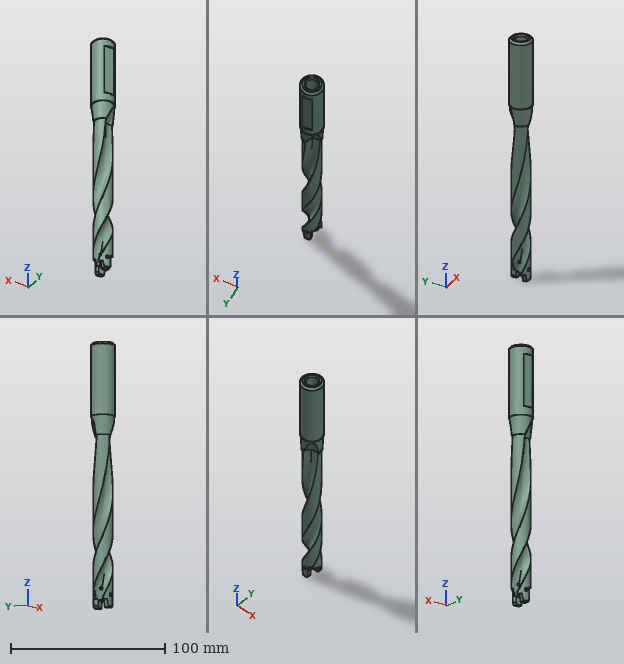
import cadquery as cq
import math

LENGTH = 174.6
SHANK_BOTTOM = 126.5
NECK_BOTTOM = 113.5
OVERRUN = 1.7

SHANK_DIAMETER = 15.9
SHANK_RADIUS = SHANK_DIAMETER / 2
SHANK_CHAMFER = 1.5
FLAT_DEPTH = 0.9
FLAT_BOTTOM = 132.4
FLAT_TOP = 168.0

NECK_TOP_RADIUS = 7.5
NECK_BOTTOM_RADIUS = 7

BODY_RADIUS = 6.5
TIP_CHAMFER = 0.7

BORE_RADIUS = 4.0
BORE_CHAMFER = 1.0
BORE_DEPTH = 21
BORE_POINT_ANGLE = 140
CHANNEL_RADIUS = 0.9
OUTLET_HEIGHT = 12.7

WEB_RADIUS = 2.1
FLUTE_RADIUS = 6.3
FLUTE_COUNT = 2
TWIST_START = 6.1
TWIST_EASE = 30.0
STEADY_TWIST = 4.581
TOP_TWIST = 0.5154
STATIONS = 16
RUNOUT_TOP = 124.9
RUNOUT_TURN = 12

SLOT_DEPTH = 5.2
SLOT_WIDTH = 5.6
PRONG_BACK = 3.7
PRONG_TIP_BACK = 2.6
PRONG_FRONT = 2.0
CORNER_WIDTH = 1.0
CORNER_HEIGHT = 2.1
NOTCH_TOP = 10.8
NOTCH_WIDTH = 3.1
NOTCH_FLOOR = 4.2

SCREW_RADIUS = 1.0
SCREW_OFFSET = -0.7
SCREW_HEIGHT = 8.2
SCREW_END = 2.8
SCREW_OUTER = 6.1


def flute_angle(z):
    """Direction of a flute at height z, in degrees around Z from -Y towards +X."""
    if z <= TWIST_EASE:
        return STEADY_TWIST * (z - TWIST_EASE)
    rise = z - TWIST_EASE
    easing = (STEADY_TWIST - TOP_TWIST) / (2 * (NECK_BOTTOM - TWIST_EASE))
    return STEADY_TWIST * rise - easing * rise**2


def around_axis(shape, index):
    """Copy of a shape turned to its place among equal ones around Z."""
    return shape.rotate((0, 0, 0), (0, 0, 1), 360 * index / FLUTE_COUNT)


def flute_section(z, angle, floor):
    """Half disc at height z whose round side comes to within `floor` of the axis."""
    center = floor + FLUTE_RADIUS
    diagonal = FLUTE_RADIUS * math.sqrt(0.5)
    half_disc = (
        cq.Workplane("XY", origin=(0, 0, z))
        .moveTo(FLUTE_RADIUS, -center)
        .threePointArc((diagonal, diagonal - center), (0, -floor))
        .threePointArc((-diagonal, diagonal - center), (-FLUTE_RADIUS, -center))
        .close()
    )
    return half_disc.val().rotate((0, 0, 0), (0, 0, 1), angle)


def flute_cutter():
    step = (NECK_BOTTOM - TWIST_START) / STATIONS
    heights = [TWIST_START + step * i for i in range(STATIONS + 1)]
    helix = cq.Solid.makeLoft([flute_section(z, flute_angle(z), WEB_RADIUS) for z in heights])
    start_angle = flute_angle(TWIST_START)
    lead_in = cq.Solid.makeLoft(
        [flute_section(z, start_angle, WEB_RADIUS) for z in (-OVERRUN, TWIST_START)], True
    )
    end_angle = flute_angle(NECK_BOTTOM)
    runout = cq.Solid.makeLoft(
        [
            flute_section(NECK_BOTTOM, end_angle, WEB_RADIUS),
            flute_section(RUNOUT_TOP, end_angle + RUNOUT_TURN, NECK_TOP_RADIUS),
        ],
        True,
    )
    return [lead_in, helix, runout]


def make_blank():
    """Turned outline of shank, neck and body."""
    return (
        cq.Workplane("XZ")
        .moveTo(0, 0)
        .lineTo(BODY_RADIUS - TIP_CHAMFER, 0)
        .lineTo(BODY_RADIUS, TIP_CHAMFER)
        .lineTo(BODY_RADIUS, NECK_BOTTOM)
        .lineTo(NECK_BOTTOM_RADIUS, NECK_BOTTOM)
        .lineTo(NECK_TOP_RADIUS, SHANK_BOTTOM)
        .lineTo(SHANK_RADIUS, SHANK_BOTTOM)
        .lineTo(SHANK_RADIUS, LENGTH - SHANK_CHAMFER)
        .lineTo(SHANK_RADIUS - SHANK_CHAMFER, LENGTH)
        .lineTo(0, LENGTH)
        .close()
        .revolve(360, (0, 0, 0), (0, 1, 0))
    )


def clamping_flat():
    return cq.Workplane("XY").box(
        2 * SHANK_RADIUS, SHANK_RADIUS, FLAT_TOP - FLAT_BOTTOM, centered=(True, False, False)
    ).translate((0, SHANK_RADIUS - FLAT_DEPTH, FLAT_BOTTOM))


def coolant_bore():
    """Chamfered blind bore with a drill point, and the narrow channel below it."""
    bore_bottom = LENGTH - BORE_DEPTH
    point = (BORE_RADIUS - CHANNEL_RADIUS) / math.tan(math.radians(BORE_POINT_ANGLE / 2))
    return (
        cq.Workplane("XZ")
        .moveTo(0, OUTLET_HEIGHT)
        .lineTo(CHANNEL_RADIUS, OUTLET_HEIGHT)
        .lineTo(CHANNEL_RADIUS, bore_bottom - point)
        .lineTo(BORE_RADIUS, bore_bottom)
        .lineTo(BORE_RADIUS, LENGTH - BORE_CHAMFER)
        .lineTo(BORE_RADIUS + BORE_CHAMFER, LENGTH)
        .lineTo(0, LENGTH)
        .close()
        .revolve(360, (0, 0, 0), (0, 1, 0))
    )


def coolant_outlet():
    return (
        cq.Workplane("YZ")
        .center(0, OUTLET_HEIGHT)
        .circle(CHANNEL_RADIUS)
        .extrude(BODY_RADIUS, both=True)
    )


def plate_slot():
    return cq.Workplane("XY").box(
        2 * SHANK_RADIUS, SLOT_WIDTH, SLOT_DEPTH, centered=(True, True, False)
    )


def prong_relief():
    """Clears the material behind the prong on the -Y side, undercutting it towards the tip."""
    return (
        cq.Workplane("XZ")
        .moveTo(-PRONG_TIP_BACK, 0)
        .lineTo(-PRONG_BACK, SLOT_DEPTH)
        .lineTo(-SHANK_RADIUS, SLOT_DEPTH)
        .lineTo(-SHANK_RADIUS, 0)
        .close()
        .extrude(SHANK_RADIUS)
    )


def chip_notch():
    """Round-topped notch in front of the prong on the -Y side."""
    radius = NOTCH_WIDTH / 2
    right = PRONG_FRONT + NOTCH_WIDTH
    return (
        cq.Workplane("XZ", origin=(0, -NOTCH_FLOOR, 0))
        .moveTo(PRONG_FRONT, 0)
        .lineTo(right, 0)
        .lineTo(right, NOTCH_TOP - radius)
        .threePointArc((right - radius, NOTCH_TOP), (PRONG_FRONT, NOTCH_TOP - radius))
        .close()
        .extrude(BODY_RADIUS)
    )


def corner_bevel():
    """Slanted cut across the front corner of the prong on the -Y side."""
    return (
        cq.Workplane("XZ")
        .moveTo(PRONG_FRONT - CORNER_WIDTH, 0)
        .lineTo(PRONG_FRONT, CORNER_HEIGHT)
        .lineTo(BODY_RADIUS, CORNER_HEIGHT)
        .lineTo(BODY_RADIUS, 0)
        .close()
        .extrude(BODY_RADIUS)
    )


def screw_cylinder(outer_end):
    """Cylinder along Y on the -Y side, from the bottom of the screw hole out to `outer_end`."""
    return (
        cq.Workplane("XZ", origin=(SCREW_OFFSET, -SCREW_END, SCREW_HEIGHT))
        .circle(SCREW_RADIUS)
        .extrude(outer_end - SCREW_END)
    )


def make_drill():
    drill = make_blank()
    for i in range(FLUTE_COUNT):
        for cutter in flute_cutter():
            drill = drill.cut(cq.Workplane(around_axis(cutter, i)))
    for cutter in (clamping_flat(), coolant_bore(), coolant_outlet(), plate_slot()):
        drill = drill.cut(cutter)
    for i in range(FLUTE_COUNT):
        for cutter in (prong_relief(), chip_notch(), corner_bevel(), screw_cylinder(BODY_RADIUS)):
            drill = drill.cut(around_axis(cutter, i))
    return drill


def make_screw(index):
    """Headless clamping screw, sunk slightly below the body surface."""
    return around_axis(screw_cylinder(SCREW_OUTER), index)


drill = make_drill()
screws = [make_screw(i) for i in range(FLUTE_COUNT)]

result = cq.Compound.makeCompound([drill.val(), *[screw.val() for screw in screws]])